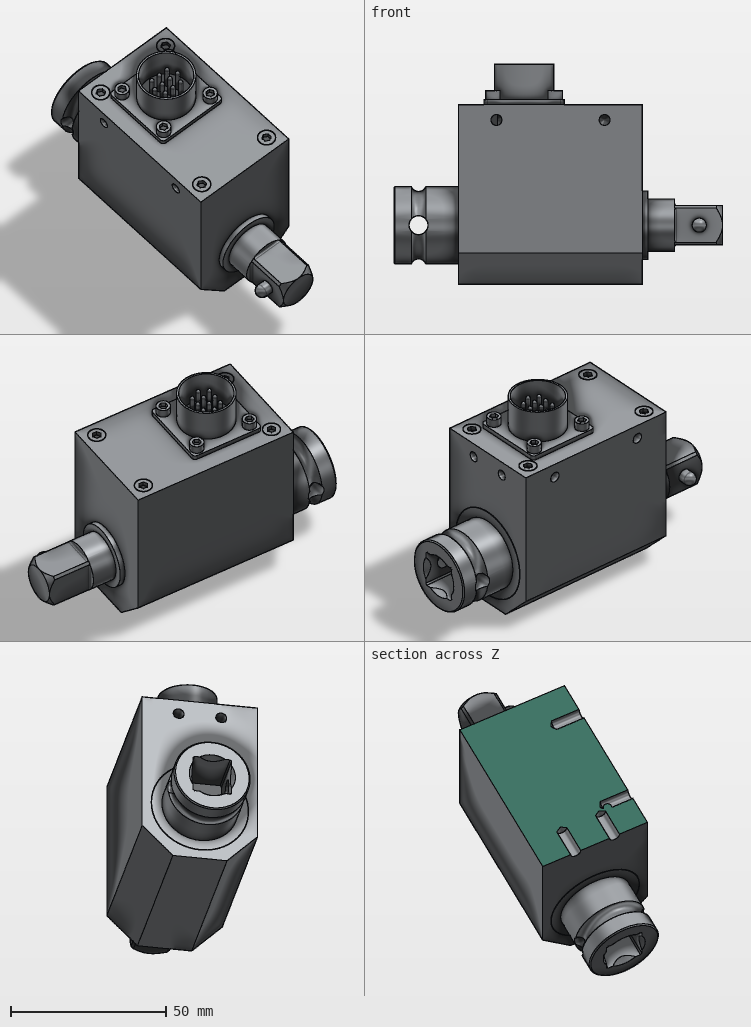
import cadquery as cq
import math


HOUSING_LENGTH = 59.4
HOUSING_WIDTH = 38.0
HOUSING_BOTTOM = -19.1
HOUSING_HEIGHT = 58.0
HOUSING_TOP = HOUSING_BOTTOM + HOUSING_HEIGHT
HOUSING_CHAMFER = 10.1
GAP_WIDTH = 0.1
GAP_DEPTH = 0.1
BEARING_COVER_DIAMETER = 32.0

SIDE_HOLE_DIAMETER = 3.5
SIDE_HOLE_DEPTH = 10.0
SIDE_HOLE_TIP_ANGLE = 118
SIDE_HOLE_DROP = 5.0
FRONT_HOLE_XS = (12.3, 47.2)
END_HOLE_OFFSET = 7.0

LID_SCREW_INSET_X = 5.2
LID_SCREW_INSET_Y = 5.0
LID_SCREW_HEAD_DIAMETER = 5.7
LID_SCREW_HEX = 3.1

SOCKET_LENGTH = 20.8
SOCKET_DIAMETER = 25.0
SOCKET_RIM_CHAMFER = 0.4
GROOVE_X = -12.8
GROOVE_HALF_WIDTH = 2.3
GROOVE_DEPTH = 1.6
RETAINER_HOLE_DIAMETER = 6.0
DRIVE_SIZE = 12.7
SOCKET_RECESS_DEPTH = 17.0
SOCKET_CORNER_CHAMFER = 0.5
LEAD_IN_DIAMETER = 15.2
LEAD_IN_DEPTH = 2.1

COLLAR_LENGTH = 1.8
COLLAR_DIAMETER = 22.2
SHAFT_LENGTH = 8.6
SHAFT_DIAMETER = 17.0
SHAFT_END = HOUSING_LENGTH + COLLAR_LENGTH + SHAFT_LENGTH
OVERALL_LENGTH = 106.0
DRIVE_END = OVERALL_LENGTH - SOCKET_LENGTH
DRIVE_EDGE_CHAMFER = 0.8
DRIVE_ROOT_FILLET = 0.6
DRIVE_TIP_TAPER = 2.1
PIN_X = 77.7
PIN_DIAMETER = 4.6
PIN_REACH = 11.1

CONNECTOR_X = 21.2
FLANGE_SIZE = 26.0
FLANGE_THICKNESS = 1.6
FLANGE_CORNER = 1.3
FLANGE_TOP = HOUSING_TOP + FLANGE_THICKNESS
BARREL_DIAMETER = 19.2
BARREL_BORE = 17.8
OVERALL_HEIGHT = 71.0
BARREL_TOP = HOUSING_BOTTOM + OVERALL_HEIGHT
FLANGE_SCREW_OFFSET = 10.1
FLANGE_SCREW_HEAD_DIAMETER = 4.7
FLANGE_SCREW_HEAD_HEIGHT = 2.9
FLANGE_SCREW_HEX = 2.9
FLANGE_SCREW_SHANK_DIAMETER = 2.9
FLANGE_SCREW_SHANK_LENGTH = 8.5
HEX_DEPTH = 1.5
CONTACT_DIAMETER = 1.5
CONTACT_PITCH = 3.3
CONTACT_TIP_DROP = 2.6


def x_cylinder(x_start, length, diameter):
    return cq.Workplane("YZ", origin=(x_start, 0, 0)).circle(diameter / 2).extrude(length)


def x_square_bar(x_start, length, edge_chamfer):
    bar = cq.Workplane("YZ", origin=(x_start, 0, 0)).rect(DRIVE_SIZE, DRIVE_SIZE).extrude(length)
    return bar.edges("|X").chamfer(edge_chamfer)


def z_cylinder(x, y, z_bottom, z_top, diameter):
    base = cq.Workplane("XY", origin=(x, y, z_bottom))
    return base.circle(diameter / 2).extrude(z_top - z_bottom)


def hex_recess(x, y, z_top, across_corners, turn):
    recess = cq.Workplane("XY", origin=(x, y, z_top)).polygon(6, across_corners).extrude(-HEX_DEPTH)
    return recess.rotate((x, y, 0), (x, y, 1), turn)


def drilled_hole(mouth, direction):
    """Blind hole with a conical bottom, entering at mouth along direction."""
    radius = SIDE_HOLE_DIAMETER / 2
    tip = radius / math.tan(math.radians(SIDE_HOLE_TIP_ANGLE / 2))
    start = cq.Vector(*mouth)
    along = cq.Vector(*direction)
    bore = cq.Solid.makeCylinder(radius, SIDE_HOLE_DEPTH, start, along)
    cone = cq.Solid.makeCone(radius, 0, tip, start + along * SIDE_HOLE_DEPTH, along)
    return cq.Workplane(bore.fuse(cone))


def make_housing():
    half_width = HOUSING_WIDTH / 2
    block = (
        cq.Workplane("XY", origin=(HOUSING_LENGTH / 2, 0, HOUSING_BOTTOM))
        .box(HOUSING_LENGTH, HOUSING_WIDTH, HOUSING_HEIGHT, centered=(True, True, False))
        .edges("|X and <Z")
        .chamfer(HOUSING_CHAMFER)
    )
    hole_z = HOUSING_TOP - SIDE_HOLE_DROP
    for x in FRONT_HOLE_XS:
        block = block.cut(drilled_hole((x, -half_width, hole_z), (0, 1, 0)))
    for y in (-END_HOLE_OFFSET, END_HOLE_OFFSET):
        block = block.cut(drilled_hole((0, y, hole_z), (1, 0, 0)))

    cover_gap = x_cylinder(0, GAP_DEPTH, BEARING_COVER_DIAMETER).cut(
        x_cylinder(0, GAP_DEPTH, BEARING_COVER_DIAMETER - 2 * GAP_WIDTH)
    )
    block = block.cut(cover_gap)

    gap_bottom = HOUSING_TOP - GAP_DEPTH
    screw_y = half_width - LID_SCREW_INSET_Y
    for x in (LID_SCREW_INSET_X, HOUSING_LENGTH - LID_SCREW_INSET_X):
        for y in (-screw_y, screw_y):
            gap = z_cylinder(x, y, gap_bottom, HOUSING_TOP, LID_SCREW_HEAD_DIAMETER + 2 * GAP_WIDTH)
            gap = gap.cut(z_cylinder(x, y, gap_bottom, HOUSING_TOP, LID_SCREW_HEAD_DIAMETER))
            block = block.cut(gap).cut(hex_recess(x, y, HOUSING_TOP, LID_SCREW_HEX, 0))
    return block


def make_socket():
    radius = SOCKET_DIAMETER / 2
    body = x_cylinder(-SOCKET_LENGTH, SOCKET_LENGTH, SOCKET_DIAMETER)
    body = body.faces("<X").edges().chamfer(SOCKET_RIM_CHAMFER)
    groove = (
        cq.Workplane("XZ")
        .moveTo(GROOVE_X - GROOVE_HALF_WIDTH, radius)
        .threePointArc((GROOVE_X, radius - GROOVE_DEPTH), (GROOVE_X + GROOVE_HALF_WIDTH, radius))
        .close()
        .revolve(360, (0, 0, 0), (1, 0, 0))
    )
    retainer_hole = (
        cq.Workplane("XZ", origin=(GROOVE_X, 0, 0))
        .circle(RETAINER_HOLE_DIAMETER / 2)
        .extrude(radius, both=True)
    )
    recess = x_square_bar(-SOCKET_LENGTH, SOCKET_RECESS_DEPTH, SOCKET_CORNER_CHAMFER)
    lead_in = cq.Solid.makeCone(
        LEAD_IN_DIAMETER / 2,
        DRIVE_SIZE / 2,
        LEAD_IN_DEPTH,
        cq.Vector(-SOCKET_LENGTH, 0, 0),
        cq.Vector(1, 0, 0),
    )
    return body.cut(groove).cut(retainer_hole).cut(recess).cut(cq.Workplane(lead_in))


def make_root_fillet():
    """Concave fillet where the upper flat of the square drive meets the shaft shoulder."""
    flat_width = DRIVE_SIZE - 2 * DRIVE_EDGE_CHAMFER
    flat_z = DRIVE_SIZE / 2
    profile = (
        cq.Workplane("XZ", origin=(SHAFT_END, 0, 0))
        .moveTo(0, flat_z)
        .lineTo(DRIVE_ROOT_FILLET, flat_z)
        .radiusArc((0, flat_z + DRIVE_ROOT_FILLET), DRIVE_ROOT_FILLET)
        .close()
    )
    strip = profile.extrude(flat_width / 2, both=True)
    return strip.intersect(x_cylinder(SHAFT_END, DRIVE_ROOT_FILLET, SHAFT_DIAMETER))


def make_output():
    collar = x_cylinder(HOUSING_LENGTH, COLLAR_LENGTH, COLLAR_DIAMETER)
    shaft = x_cylinder(HOUSING_LENGTH, SHAFT_END - HOUSING_LENGTH, SHAFT_DIAMETER)

    bar = x_square_bar(SHAFT_END, DRIVE_END - SHAFT_END, DRIVE_EDGE_CHAMFER)
    tip_radius = DRIVE_SIZE / 2
    full_radius = tip_radius + DRIVE_TIP_TAPER
    envelope = (
        x_cylinder(SHAFT_END, DRIVE_END - SHAFT_END, 2 * full_radius)
        .faces(">X")
        .edges()
        .chamfer(DRIVE_TIP_TAPER)
    )
    output = collar.union(shaft).union(bar.intersect(envelope))
    for turn in (0, 90, 180, 270):
        output = output.union(make_root_fillet().rotate((0, 0, 0), (1, 0, 0), turn))

    dome_y = PIN_REACH - PIN_DIAMETER / 2
    pin = cq.Workplane("XZ", origin=(PIN_X, 0, 0)).circle(PIN_DIAMETER / 2).extrude(dome_y)
    dome = cq.Workplane("XY", origin=(PIN_X, -dome_y, 0)).sphere(PIN_DIAMETER / 2)
    return output.union(pin).union(dome)


def make_contact(x, y):
    tip_z = BARREL_TOP - CONTACT_TIP_DROP
    dome_z = tip_z - CONTACT_DIAMETER / 2
    rod = z_cylinder(x, y, HOUSING_TOP, dome_z, CONTACT_DIAMETER)
    return rod.union(cq.Workplane("XY", origin=(x, y, dome_z)).sphere(CONTACT_DIAMETER / 2))


def make_connector():
    flange = (
        cq.Workplane("XY", origin=(CONNECTOR_X, 0, HOUSING_TOP))
        .rect(FLANGE_SIZE, FLANGE_SIZE)
        .extrude(FLANGE_THICKNESS)
        .edges("|Z")
        .fillet(FLANGE_CORNER)
    )
    barrel = z_cylinder(CONNECTOR_X, 0, FLANGE_TOP, BARREL_TOP, BARREL_DIAMETER)
    bore = z_cylinder(CONNECTOR_X, 0, FLANGE_TOP, BARREL_TOP, BARREL_BORE)
    connector = flange.union(barrel.cut(bore))

    head_top = FLANGE_TOP + FLANGE_SCREW_HEAD_HEIGHT
    shank_bottom = HOUSING_TOP - FLANGE_SCREW_SHANK_LENGTH
    for x in (CONNECTOR_X - FLANGE_SCREW_OFFSET, CONNECTOR_X + FLANGE_SCREW_OFFSET):
        for y in (-FLANGE_SCREW_OFFSET, FLANGE_SCREW_OFFSET):
            head = z_cylinder(x, y, FLANGE_TOP, head_top, FLANGE_SCREW_HEAD_DIAMETER)
            head = head.cut(hex_recess(x, y, head_top, FLANGE_SCREW_HEX, 30))
            shank = z_cylinder(x, y, shank_bottom, FLANGE_TOP, FLANGE_SCREW_SHANK_DIAMETER)
            connector = connector.union(head).union(shank)

    for row, count in ((-1, 3), (0, 4), (1, 3)):
        for i in range(count):
            y = (i - (count - 1) / 2) * CONTACT_PITCH
            connector = connector.union(make_contact(CONNECTOR_X + row * CONTACT_PITCH, y))
    return connector


result = make_housing().union(make_socket()).union(make_output()).union(make_connector())